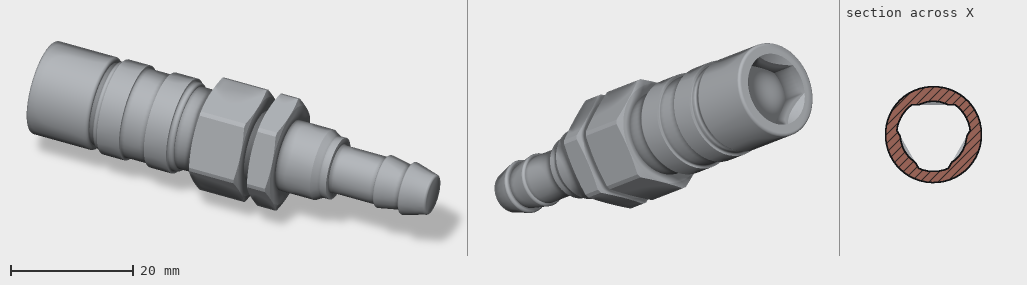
import cadquery as cq
import math

TOTAL_LENGTH = 69.0

SLEEVE_R = 15.8 / 2
SLEEVE_END = 10.9
SLEEVE_ROUND = 0.5

NECK_R = 14.0 / 2

COLLAR_START = 11.65
COLLAR_LENGTH = 14.35
COLLAR_R = 15.1 / 2
COLLAR_ROUND = 0.4
RING_R = 16.15 / 2
RING_INSET = 1.05
RING_LENGTH = 3.9
RING_FILLET = 0.2

HEX_FLATS = 17.0
HEX_CORNERS = 19.2
HEX_FACE_R = 16.85 / 2
HEX_CHAMFER = 0.35
BODY_HEX_START = 29.3
BODY_HEX_LENGTH = 8.6
NUT_START = 39.6
NUT_LENGTH = 3.9

THREAD_R = 12.0 / 2
THREAD_END = 49.7
SHANK_TIP_R = 10.5 / 2
SHANK_TIP_START = 50.9
SHANK_TIP_END = 52.15

TAIL_R = 8.1 / 2
TAIL_FLARE_RISE = 0.15
TAIL_FLARE_RUN = 0.4
BARB_R = 9.0 / 2
BARB_ROUND = 0.4
FIRST_BARB_START = 60.0
SECOND_BARB_START = 64.45
FIRST_BARB_END_R = 7.5 / 2
TIP_R = 6.9 / 2
TIP_ROUND = 0.4

SOCKET_R = 12.0 / 2
SOCKET_DEPTH = 5.0
SOCKET_FLAT_DISTANCE = 4.8
MOUTH_CONE_HEIGHT = SOCKET_R
FLOOR_CONE_HEIGHT = 3.45
FLAT_ANGLES = (90, 210, 330)


def rounded_corner(sketch, corner_x, corner_r, radius, rising):
    """Draw a convex quarter round on an outer edge, from the current point."""
    diagonal = radius * (1 - math.sqrt(0.5))
    if rising:
        middle = (corner_x + diagonal, corner_r - diagonal)
        end = (corner_x + radius, corner_r)
    else:
        middle = (corner_x - diagonal, corner_r - diagonal)
        end = (corner_x, corner_r - radius)
    return sketch.threePointArc(middle, end)


def cylinder(start, length, radius):
    return cq.Workplane("YZ", origin=(start, 0, 0)).circle(radius).extrude(length)


def cone(start, start_radius, length, end_radius):
    return cq.Workplane(
        cq.Solid.makeCone(start_radius, end_radius, length, cq.Vector(start, 0, 0), cq.Vector(1, 0, 0))
    )


def revolved(sketch):
    return sketch.close().revolve(360, (0, 0, 0), (1, 0, 0))


def sleeve():
    return cylinder(0, SLEEVE_END, SLEEVE_R).edges().fillet(SLEEVE_ROUND)


def collar_ring(start):
    """Raised ring, filleted into the collar core on both sides."""
    end = start + RING_LENGTH
    fillet_r = COLLAR_R + RING_FILLET
    return revolved(
        cq.Workplane("XY")
        .moveTo(start - RING_FILLET, 0)
        .lineTo(start - RING_FILLET, COLLAR_R)
        .radiusArc((start, fillet_r), -RING_FILLET)
        .lineTo(start, RING_R)
        .lineTo(end, RING_R)
        .lineTo(end, fillet_r)
        .radiusArc((end + RING_FILLET, COLLAR_R), -RING_FILLET)
        .lineTo(end + RING_FILLET, 0)
    )


def collar():
    core = cylinder(COLLAR_START, COLLAR_LENGTH, COLLAR_R).edges().fillet(COLLAR_ROUND)
    first_ring = COLLAR_START + RING_INSET
    second_ring = COLLAR_START + COLLAR_LENGTH - RING_INSET - RING_LENGTH
    return core.union(collar_ring(first_ring)).union(collar_ring(second_ring))


def hexagon(start, length):
    """Hexagonal prism with flats on +Z and -Z, turned corners and chamfered ends."""
    prism = (
        cq.Workplane("YZ", origin=(start, 0, 0))
        .polygon(6, HEX_FLATS / math.cos(math.pi / 6))
        .extrude(length)
    )
    corner_r = HEX_CORNERS / 2
    end = start + length
    envelope = revolved(
        cq.Workplane("XY")
        .moveTo(start, 0)
        .lineTo(start, HEX_FACE_R)
        .lineTo(start + HEX_CHAMFER, corner_r)
        .lineTo(end - HEX_CHAMFER, corner_r)
        .lineTo(end, HEX_FACE_R)
        .lineTo(end, 0)
    )
    return prism.intersect(envelope)


def shank_and_tail():
    """Threaded shank, tapered step, hose tail with a flared root and its two barbs."""
    sketch = (
        cq.Workplane("XY")
        .moveTo(BODY_HEX_START, 0)
        .lineTo(BODY_HEX_START, THREAD_R)
        .lineTo(THREAD_END, THREAD_R)
        .lineTo(SHANK_TIP_START, SHANK_TIP_R)
        .lineTo(SHANK_TIP_END, SHANK_TIP_R)
        .lineTo(SHANK_TIP_END, TAIL_R + TAIL_FLARE_RISE)
        .lineTo(SHANK_TIP_END + TAIL_FLARE_RUN, TAIL_R)
        .lineTo(FIRST_BARB_START, TAIL_R)
    )
    for start in (FIRST_BARB_START, SECOND_BARB_START):
        sketch = sketch.lineTo(start, BARB_R - BARB_ROUND)
        sketch = rounded_corner(sketch, start, BARB_R, BARB_ROUND, rising=True)
        if start == FIRST_BARB_START:
            sketch = sketch.lineTo(SECOND_BARB_START, FIRST_BARB_END_R)
    sketch = sketch.lineTo(TOTAL_LENGTH - TIP_ROUND, TIP_R)
    sketch = rounded_corner(sketch, TOTAL_LENGTH, TIP_R, TIP_ROUND, rising=False)
    return revolved(sketch.lineTo(TOTAL_LENGTH, 0))


def socket():
    """Cavity with three flats, coned out to the full bore at mouth and floor."""
    bore = cylinder(0, SOCKET_DEPTH, SOCKET_R)
    cavity = bore
    for angle in FLAT_ANGLES:
        land = (
            cq.Workplane("XY")
            .box(SOCKET_DEPTH, SOCKET_R, 2 * SOCKET_R, centered=(False, False, True))
            .translate((0, SOCKET_FLAT_DISTANCE, 0))
            .rotate((0, 0, 0), (1, 0, 0), angle)
        )
        cavity = cavity.cut(land)
    mouth = cone(0, SOCKET_R, MOUTH_CONE_HEIGHT, 0).intersect(bore)
    floor = cone(SOCKET_DEPTH - FLOOR_CONE_HEIGHT, 0, FLOOR_CONE_HEIGHT, SOCKET_R)
    return cavity.union(mouth).union(floor)


neck = cylinder(SLEEVE_END / 2, BODY_HEX_START - SLEEVE_END / 2, NECK_R)

result = (
    neck.union(sleeve())
    .union(collar())
    .union(hexagon(BODY_HEX_START, BODY_HEX_LENGTH))
    .union(shank_and_tail())
    .union(hexagon(NUT_START, NUT_LENGTH))
    .cut(socket())
)